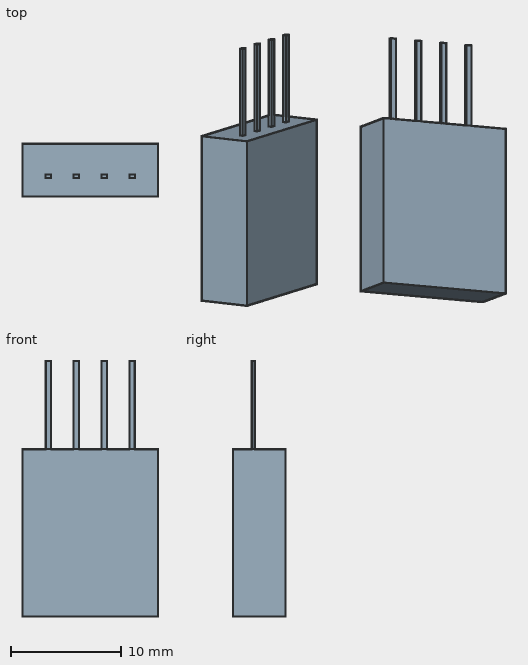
import cadquery as cq

total_height = 23.2
body_width = 12.3
body_depth = 4.8

pin_count = 4
pin_pitch = 2.53
pin_width = 0.5
pin_thickness = 0.3
pin_length = 8.0
pin_front_offset = 1.85

body_height = total_height - pin_length
pin_y = pin_front_offset - body_depth / 2


def make_body():
    """Plain rectangular block, centred on X and Y, with its base at Z = 0."""
    return cq.Workplane("XY").box(body_width, body_depth, body_height, centered=(True, True, False))


def make_pin(x):
    """One straight lead rising from the top face of the body at the given X."""
    return (
        cq.Workplane("XY", origin=(x, pin_y, body_height))
        .rect(pin_width, pin_thickness)
        .extrude(pin_length)
    )


body = make_body()

first_pin_x = -pin_pitch * (pin_count - 1) / 2
pins = [make_pin(first_pin_x + index * pin_pitch) for index in range(pin_count)]

result = cq.Compound.makeCompound([body.val(), *[pin.val() for pin in pins]])